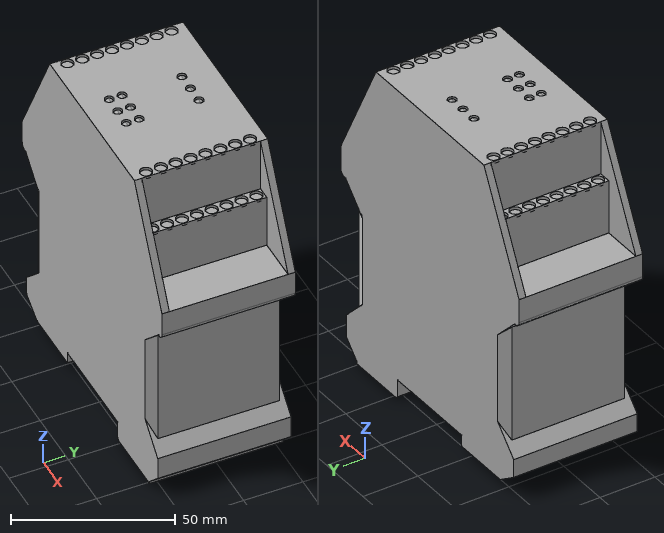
import cadquery as cq

height = 114.0
width = 99.0
depth = 45.0
half_width = width / 2
half_depth = depth / 2

top_half_width = 30.0
shoulder_z = 75.5
lip_z = 65.0
lip_flat = 2.6
lip_radius = 2.0
waist_half_width = 37.5
waist_bottom_z = 23.7
foot_half_width = 46.5
foot_top_z = waist_bottom_z - (foot_half_width - waist_half_width)

left_foot_z = 3.0
left_foot_side_z = 8.1
left_foot_toe_x = -39.0

right_foot_toe_x = 40.7
right_foot_toe_step = 0.9
right_foot_side_z = right_foot_toe_step + foot_half_width - right_foot_toe_x
right_foot_chamfer = 0.8

slot_left_x = -17.4
slot_right_x = 18.0
slot_top_z = 7.1
hook_length = 20.4
left_hook_reach = 2.3
left_hook_top_z = 6.0
left_hook_tip_z = 4.8
right_hook_reach = 3.4
right_hook_top_z = 5.6

panel_half_width = 42.4
panel_half_depth = 20.5

wall = 2.5
ledge_width = 4.5
ledge_z = 94.7

screw_count = 8
screw_pitch = 5.0
screw_diameter = 4.0
screw_depth = 1.0
screw_inset = ledge_width / 2

lamp_radius = 1.5
lamp_pitch = 6.0
lamp_center_x = -1.3
lamp_columns = 3
lamp_rows_y = (11.3, -8.9, -13.2)


def extrude_along_y(points, length):
    """Prism with an XZ outline, centred on Y = 0."""
    return cq.Workplane("XZ").polyline(points).close().extrude(length / 2, both=True)


def box_between(x_limits, y_limits, z_limits):
    """Axis-aligned box given by its limits on each axis."""
    x0, x1 = sorted(x_limits)
    y0, y1 = y_limits
    z0, z1 = z_limits
    return cq.Workplane("XY").box(x1 - x0, y1 - y0, z1 - z0, centered=False).translate((x0, y0, z0))


def make_shell():
    lip_inner_x = half_width - lip_flat
    waist_top_z = lip_z - (lip_inner_x - waist_half_width)
    right_side = [
        (top_half_width, height),
        (half_width, shoulder_z),
        (half_width, lip_z),
        (lip_inner_x, lip_z),
        (waist_half_width, waist_top_z),
        (waist_half_width, waist_bottom_z),
        (foot_half_width, foot_top_z),
    ]
    left_side = [(-x, z) for x, z in reversed(right_side)]
    underside = [
        (foot_half_width, right_foot_side_z),
        (right_foot_toe_x, right_foot_toe_step),
        (right_foot_toe_x, 0),
        (slot_right_x + right_foot_chamfer, 0),
        (slot_right_x, right_foot_chamfer),
        (slot_right_x, slot_top_z),
        (slot_left_x, slot_top_z),
        (slot_left_x, left_foot_z),
        (left_foot_toe_x, left_foot_z),
        (-foot_half_width, left_foot_side_z),
    ]
    shell = extrude_along_y(right_side + underside + left_side, depth)
    for side in (-1, 1):
        lip_edge = cq.selectors.NearestToPointSelector((side * half_width, 0, lip_z))
        shell = shell.edges(lip_edge).fillet(lip_radius)
    return shell


def make_hooks():
    left_tip_x = slot_left_x + left_hook_reach
    right_tip_x = slot_right_x - right_hook_reach
    left_hook = extrude_along_y(
        [
            (slot_left_x, left_foot_z),
            (left_tip_x, left_foot_z),
            (left_tip_x, left_hook_tip_z),
            (slot_left_x, left_hook_top_z),
        ],
        hook_length,
    )
    right_hook = extrude_along_y(
        [
            (slot_right_x, right_foot_chamfer),
            (slot_right_x, right_hook_top_z),
            (right_tip_x, right_foot_chamfer + right_hook_reach),
        ],
        hook_length,
    )
    return left_hook.union(right_hook)


def make_panels():
    """Block through the waist whose exposed ends taper in Y."""
    outline = [
        (panel_half_width, panel_half_depth),
        (waist_half_width, half_depth),
        (-waist_half_width, half_depth),
        (-panel_half_width, panel_half_depth),
    ]
    outline += [(-x, -y) for x, y in outline]
    return (
        cq.Workplane("XY", origin=(0, 0, foot_top_z))
        .polyline(outline)
        .close()
        .extrude(lip_z - foot_top_z)
    )


def make_terminal_step(side):
    """Stepped recess between the side walls; side is -1 or 1."""
    inner_depth = (wall - half_depth, half_depth - wall)
    upper_x = side * top_half_width
    lower_x = side * (top_half_width + ledge_width)
    outer_x = side * half_width
    upper = box_between((upper_x, outer_x), inner_depth, (ledge_z, height))
    lower = box_between((lower_x, outer_x), inner_depth, (shoulder_z, ledge_z))
    return upper.union(lower)


def make_screw_row(x, surface_z):
    return (
        cq.Workplane("XY", origin=(x, 0, surface_z))
        .rarray(1.1, screw_pitch, 1, screw_count)
        .circle(screw_diameter / 2)
        .extrude(-screw_depth)
    )


def make_indicator_ring(x, y):
    """Round hole in the top face minus the domed lamp that fills it flush with the face."""
    floor_z = height - lamp_radius
    hole = cq.Workplane("XY", origin=(x, y, floor_z)).circle(lamp_radius).extrude(lamp_radius)
    dome = (
        cq.Workplane("XZ", origin=(x, y, floor_z))
        .moveTo(-lamp_radius, 0)
        .threePointArc((0, lamp_radius), (lamp_radius, 0))
        .close()
        .revolve(360, (0, 0), (1, 0))
    )
    return hole.cut(dome, clean=False)


result = make_shell().union(make_panels()).union(make_hooks())

for side in (-1, 1):
    result = result.cut(make_terminal_step(side))
    result = result.cut(make_screw_row(side * (top_half_width - screw_inset), height))
    result = result.cut(make_screw_row(side * (top_half_width + screw_inset), ledge_z))

for row_y in lamp_rows_y:
    for column in range(lamp_columns):
        column_offset = (column - (lamp_columns - 1) / 2) * lamp_pitch
        result = result.cut(make_indicator_ring(lamp_center_x + column_offset, row_y), clean=False)